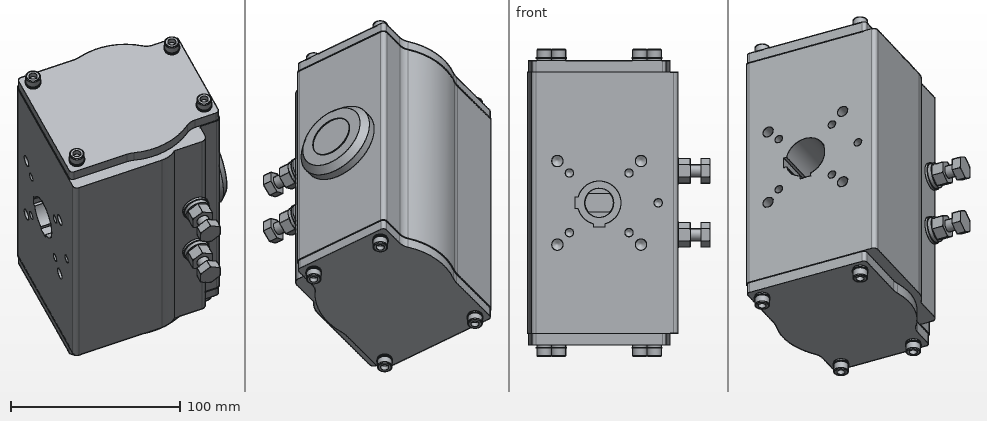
import cadquery as cq
import math


TOTAL_LENGTH = 181.8
BLOCK_LENGTH = 154.5
CAP_THICKNESS = 7.0
CAP_INSET = 0.5
BLOCK_TOP = 100.7
BULGE_RADIUS = 42.5
BULGE_CENTRE_Y = 53.1
BASE_HALF_WIDTH = 40.2
NECK_HALF_WIDTH = 32.0
BASE_BLEND_RADIUS = 14.5
NECK_BLEND_RADIUS = 9.1
CORNER_RADIUS = 2.7

RAIL_FACE_X = 46.7
RAIL_STRAIGHT_TOP = 56.4
RAIL_SHOULDER_RADIUS = 14.5
BOLT_PAD_X = 43.1
BOLT_PAD_TOP = 87.3
BOLT_PAD_FILLET = 3.6

BORE_DIAMETER = 25.8
KEYWAY_WIDTH = 6.7
KEYWAY_REACH = 14.4

INDICATOR_DIAMETER = 49.3
INDICATOR_TOP = 109.6
INDICATOR_CHAMFER = 4.0
BOSS_DIAMETER = 26.2
BOSS_TOP = 110.2
SOCKET_DIAMETER = 17.3
SOCKET_MOUTH_DEPTH = 1.8
SOCKET_DEPTH = 5.5
FLATTED_DIAMETER = 16.7
ACROSS_FLATS = 11.0

NECK_SCREW_X = 24.0
NECK_SCREW_Y = 93.5
BASE_SCREW_X = 32.5
BASE_SCREW_Y = 7.6
SCREW_HEAD_DIAMETER = 8.7
SCREW_HEAD_CHAMFER = 0.5
SCREW_RING_DIAMETER = 9.5
SCREW_RING_HEIGHT = 0.5
SCREW_RING_OFFSET = 1.3
SCREW_SOCKET_DIAMETER = 4.7
SCREW_SOCKET_DEPTH = 3.3

BOLT_Y = 79.5
BOLT_Z = 19.0
BOLT_TIP_X = 65.6
BOLT_HEAD_START_X = 60.2
BOLT_SHANK_DIAMETER = 7.5
NUT_END_X = 54.0
NUT_START_X = 47.0
HEX_ACROSS_FLATS = 12.7
HEX_CORNER_CHAMFER = 0.4
SEAL_DIAMETER = 15.3
SEAL_FLANGE_DIAMETER = 16.5
SEAL_FLANGE_THICKNESS = 1.5

OUTER_HOLE_OFFSET = 24.7
OUTER_HOLE_DIAMETER = 6.7
OUTER_HOLE_DEPTH = 12.7
INNER_HOLE_OFFSET = 17.6
SMALL_HOLE_DIAMETER = 5.0
SMALL_HOLE_DEPTH = 10.0
SIDE_HOLE_X = 35.0
DRILL_POINT_ANGLE = 118.0

CAP_FACE_Z = BLOCK_LENGTH / 2 + CAP_THICKNESS
SCREW_HEAD_HEIGHT = TOTAL_LENGTH / 2 - CAP_FACE_Z


def drill(diameter, depth):
    """Drill volume along +Z from the origin, with a conical point beyond the full depth."""
    radius = diameter / 2
    point = radius / math.tan(math.radians(DRILL_POINT_ANGLE / 2))
    outline = cq.Workplane("XZ").lineTo(radius, 0).lineTo(radius, depth).lineTo(0, depth + point).close()
    return outline.revolve(360, (0, 0, 0), (0, 1, 0))


def rod_y(diameter, y_start, y_end):
    """Cylinder on the shaft axis between two Y positions."""
    return cq.Workplane("XZ", origin=(0, y_start, 0)).circle(diameter / 2).extrude(y_start - y_end)


def rod_x(diameter, x_start, x_end):
    """Cylinder along X, centred on the X axis."""
    return cq.Workplane("YZ", origin=(x_start, 0, 0)).circle(diameter / 2).extrude(x_end - x_start)


def blend_points(half_width, blend_radius, side, bulge_radius):
    """Start, middle and end of the concave arc from a side wall to the bulge (+X half).

    side is +1 above the bulge and -1 below it.
    """
    centre_x = half_width + blend_radius
    rise = math.sqrt((bulge_radius + blend_radius) ** 2 - centre_x**2)
    bulge_angle = math.atan2(rise, centre_x)

    def on_arc(angle):
        x = centre_x - blend_radius * math.cos(angle)
        y = BULGE_CENTRE_Y + side * (rise - blend_radius * math.sin(angle))
        return x, y

    return on_arc(0), on_arc(bulge_angle / 2), on_arc(bulge_angle)


def mirrored(point):
    return -point[0], point[1]


def barrel(length, inset):
    """Symmetric bulged prism along Z, with its outline moved inward by the inset."""
    base_half = BASE_HALF_WIDTH - inset
    neck_half = NECK_HALF_WIDTH - inset
    bulge = BULGE_RADIUS - inset
    top = BLOCK_TOP - inset
    low_wall, low_mid, low_bulge = blend_points(base_half, BASE_BLEND_RADIUS + inset, -1, bulge)
    up_wall, up_mid, up_bulge = blend_points(neck_half, NECK_BLEND_RADIUS + inset, 1, bulge)
    outline = (
        cq.Workplane("XY", origin=(0, 0, -length / 2))
        .moveTo(-base_half, inset)
        .lineTo(base_half, inset)
        .lineTo(*low_wall)
        .threePointArc(low_mid, low_bulge)
        .threePointArc((bulge, BULGE_CENTRE_Y), up_bulge)
        .threePointArc(up_mid, up_wall)
        .lineTo(neck_half, top)
        .lineTo(-neck_half, top)
        .lineTo(*mirrored(up_wall))
        .threePointArc(mirrored(up_mid), mirrored(up_bulge))
        .threePointArc((-bulge, BULGE_CENTRE_Y), mirrored(low_bulge))
        .threePointArc(mirrored(low_mid), mirrored(low_wall))
        .close()
    )
    prism = outline.extrude(length)
    outer_corners = prism.edges("|Z and (<Y or >Y)")
    return outer_corners.fillet(CORNER_RADIUS - inset)


def bolt_rail():
    """Full-length rail on the +X side: a wide lower wall, a round shoulder and the bolt pad."""
    shoulder_centre_x = RAIL_FACE_X - RAIL_SHOULDER_RADIUS
    sweep = math.acos((BOLT_PAD_X - shoulder_centre_x) / RAIL_SHOULDER_RADIUS)

    def on_shoulder(angle):
        x = shoulder_centre_x + RAIL_SHOULDER_RADIUS * math.cos(angle)
        y = RAIL_STRAIGHT_TOP + RAIL_SHOULDER_RADIUS * math.sin(angle)
        return x, y

    outline = (
        cq.Workplane("XY", origin=(0, 0, -BLOCK_LENGTH / 2))
        .lineTo(RAIL_FACE_X, 0)
        .lineTo(RAIL_FACE_X, RAIL_STRAIGHT_TOP)
        .threePointArc(on_shoulder(sweep / 2), on_shoulder(sweep))
        .lineTo(BOLT_PAD_X, BOLT_PAD_TOP)
        .lineTo(0, BOLT_PAD_TOP)
        .close()
    )
    rail = outline.extrude(BLOCK_LENGTH)
    rail = rail.edges("|Z and >X and <Y").fillet(CORNER_RADIUS)
    pad_corner = cq.selectors.NearestToPointSelector((BOLT_PAD_X, BOLT_PAD_TOP, 0))
    return rail.edges("|Z").edges(pad_corner).fillet(BOLT_PAD_FILLET)


def cap_screw():
    """Socket screw head standing on Z = 0, with a thin ring near its base."""
    head = cq.Workplane("XY").circle(SCREW_HEAD_DIAMETER / 2).extrude(SCREW_HEAD_HEIGHT)
    head = head.faces(">Z").chamfer(SCREW_HEAD_CHAMFER)
    ring = cq.Workplane("XY", origin=(0, 0, SCREW_RING_OFFSET))
    ring = ring.circle(SCREW_RING_DIAMETER / 2).extrude(SCREW_RING_HEIGHT)
    socket = drill(SCREW_SOCKET_DIAMETER, SCREW_SOCKET_DEPTH)
    socket = socket.rotate((0, 0, 0), (1, 0, 0), 180).translate((0, 0, SCREW_HEAD_HEIGHT))
    return head.union(ring).cut(socket)


def hex_x(x_start, x_end):
    """Hexagonal prism along X with flats facing +Y and -Y, its outer corners chamfered."""
    across_corners = HEX_ACROSS_FLATS / math.cos(math.radians(30))
    prism = cq.Workplane("YZ", origin=(x_start, 0, 0)).polygon(6, across_corners).extrude(x_end - x_start)
    prism = prism.rotate((0, 0, 0), (1, 0, 0), 90)
    turned = rod_x(across_corners, x_start, x_end).faces(">X").chamfer(HEX_CORNER_CHAMFER)
    return prism.intersect(turned)


def stop_bolt():
    """Stop bolt with lock nut and flanged seal, along X on the X axis."""
    flange = rod_x(SEAL_FLANGE_DIAMETER, BOLT_PAD_X, BOLT_PAD_X + SEAL_FLANGE_THICKNESS)
    seal = rod_x(SEAL_DIAMETER, BOLT_PAD_X, NUT_START_X)
    nut = hex_x(NUT_START_X, NUT_END_X)
    shank = rod_x(BOLT_SHANK_DIAMETER, BOLT_PAD_X, BOLT_HEAD_START_X)
    head = hex_x(BOLT_HEAD_START_X, BOLT_TIP_X)
    return flange.union(seal).union(nut).union(shank).union(head)


def mounting_holes():
    """Two square hole patterns and one side hole in the mounting face."""
    outer = drill(OUTER_HOLE_DIAMETER, OUTER_HOLE_DEPTH).rotate((0, 0, 0), (1, 0, 0), -90)
    small = drill(SMALL_HOLE_DIAMETER, SMALL_HOLE_DEPTH).rotate((0, 0, 0), (1, 0, 0), -90)
    holes = small.translate((SIDE_HOLE_X, 0, 0))
    for x_side in (-1, 1):
        for z_side in (-1, 1):
            holes = holes.union(outer.translate((x_side * OUTER_HOLE_OFFSET, 0, z_side * OUTER_HOLE_OFFSET)))
            holes = holes.union(small.translate((x_side * INNER_HOLE_OFFSET, 0, z_side * INNER_HOLE_OFFSET)))
    return holes


def shaft_bore():
    """Bore through the block along Y, with keyways toward -X and -Z."""
    bore = rod_y(BORE_DIAMETER, 0, BLOCK_TOP)
    keyway = cq.Workplane("XY").box(KEYWAY_REACH, BLOCK_TOP, KEYWAY_WIDTH, centered=(False, False, True))
    for angle in (180, 90):
        bore = bore.union(keyway.rotate((0, 0, 0), (0, 1, 0), angle))
    return bore


def make_housing():
    """Housing block with end caps, cap screws and stop bolts."""
    body = barrel(BLOCK_LENGTH, 0).union(bolt_rail())
    body = body.union(barrel(BLOCK_LENGTH + 2 * CAP_THICKNESS, CAP_INSET))

    screw = cap_screw().translate((0, 0, CAP_FACE_Z))
    for x, y in ((NECK_SCREW_X, NECK_SCREW_Y), (BASE_SCREW_X, BASE_SCREW_Y)):
        for x_side in (-1, 1):
            placed = screw.translate((x_side * x, y, 0))
            body = body.union(placed).union(placed.mirror("XY"))

    for z_side in (-1, 1):
        body = body.union(stop_bolt().translate((0, BOLT_Y, z_side * BOLT_Z)))

    return body.cut(mounting_holes()).cut(shaft_bore())


def make_indicator():
    """Chamfered disc on the top face, with a low boss above and a two-flat socket below."""
    disc = rod_y(INDICATOR_DIAMETER, BLOCK_TOP, INDICATOR_TOP)
    disc = disc.faces(">Y").chamfer(INDICATOR_CHAMFER)
    boss = rod_y(BOSS_DIAMETER, BLOCK_TOP, BOSS_TOP)
    mouth = rod_y(SOCKET_DIAMETER, BLOCK_TOP, BLOCK_TOP + SOCKET_MOUTH_DEPTH)
    flatted = rod_y(FLATTED_DIAMETER, BLOCK_TOP, BLOCK_TOP + SOCKET_DEPTH)
    between_flats = cq.Workplane("XY").box(FLATTED_DIAMETER, 2 * BOSS_TOP, ACROSS_FLATS)
    return disc.union(boss).cut(mouth).cut(flatted.intersect(between_flats))


housing = make_housing()
indicator = make_indicator()

result = cq.Compound.makeCompound([housing.val(), indicator.val()])